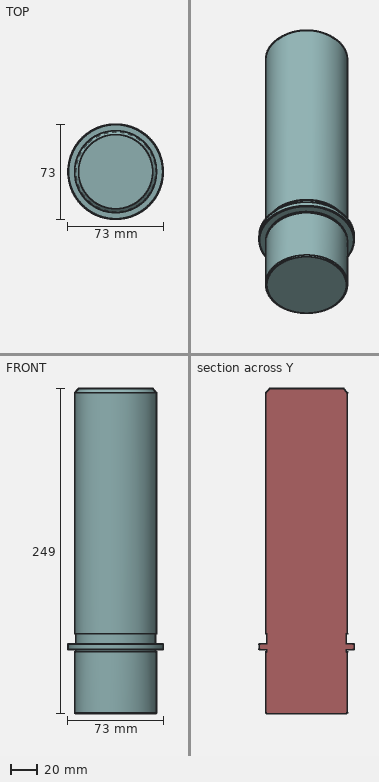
import cadquery as cq

total_height = 249.0
body_diameter = 62.7
neck_diameter = 61.3
collar_diameter = 73.0
shank_height = 47.5
relief_width = 1.5
relief_diameter = 61.3
collar_thickness = 4.7
neck_height = 7.5
base_chamfer = 1.0
top_chamfer_height = 3.5
top_chamfer_inset = 3.0
collar_chamfer = 0.5

collar_bottom = shank_height + relief_width
collar_top = collar_bottom + collar_thickness
neck_top = collar_top + neck_height


def cylinder(diameter, bottom, top):
    """Solid cylinder on the Z axis between two levels."""
    return cq.Workplane("XY").workplane(offset=bottom).circle(diameter / 2).extrude(top - bottom)


shank = cylinder(body_diameter, 0, shank_height).faces("<Z").chamfer(base_chamfer)

relief = cylinder(relief_diameter, shank_height, collar_bottom)
collar = cylinder(collar_diameter, collar_bottom, collar_top).edges().chamfer(collar_chamfer)
neck = cylinder(neck_diameter, collar_top, neck_top)

pin = cylinder(body_diameter, neck_top, total_height)
pin = pin.faces(">Z").chamfer(top_chamfer_height, top_chamfer_inset)

result = shank.union(relief).union(collar).union(neck).union(pin)